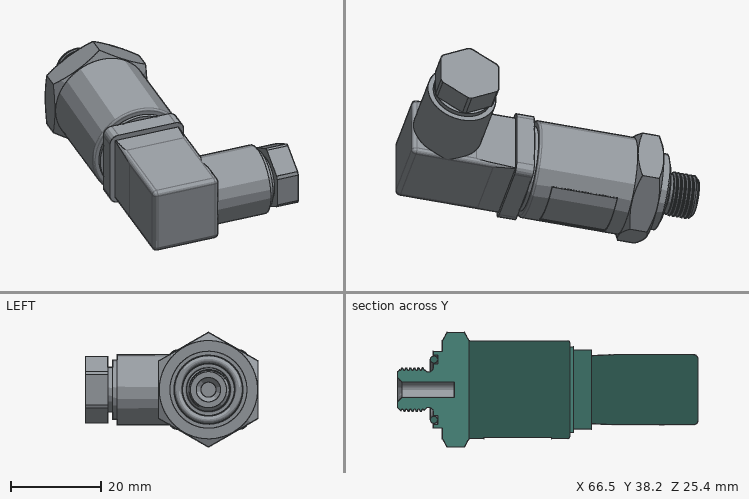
import cadquery as cq
import math


hex_half_angle = math.pi / 6

seal_face_x = 7.9
hex_start_x = 9.9
hex_end_x = 15.9
housing_end_x = 38.2
base_ring_end_x = 39.0
flange_end_x = 42.95
taper_end_z_faces = 47.9
taper_end_y_faces = 51.95
overall_length = 66.5

thread_crest_diameter = 9.7
thread_root_diameter = 8.6
relief_diameter = 8.0
thread_end_x = 6.5
thread_helix_start_x = -1.2
thread_helix_length = 8.2
thread_turns = 9
thread_pitch = thread_helix_length / thread_turns
ridge_crest_width = 0.2
ridge_flank_angle = 27.5
ridge_root_overlap = 0.1
relief_fillet = 1.0
collar_diameter = 17.0
bore_mouth_diameter = 5.4
bore_diameter = 3.3
bore_end_x = 12.6

hex_across_flats = 22.0
hex_face_diameter = 21.75
hex_chamfer_angle = 30.0

groove_inner_diameter = 11.45
groove_outer_diameter = 15.3
oring_section = 1.65
oring_protrusion = 0.65
oring_centre_diameter = (groove_inner_diameter + groove_outer_diameter) / 2
groove_depth = oring_section - oring_protrusion

housing_diameter = 21.75
housing_end_fillet = 0.45
label_start_x = 19.15
label_length = 14.9
label_width = 11.05
label_floor_diameter = 21.2
base_ring_diameter = 19.0
flange_size = 17.55
flange_corner_radius = 2.0

plug_size = 15.55
plug_edge_radius = 1.0
plug_taper_inset = 0.23
outlet_diameter = 15.55
outlet_x = 58.45
outlet_end_y = 20.2

washer_diameter = 13.2
washer_end_y = 21.2
nut_neck_diameter = 10.0
nut_start_y = 22.2
overall_width = 38.25
nut_end_y = overall_width - hex_across_flats / 2
nut_across_flats = 13.2
nut_corner_diameter = 14.75


def cylinder_along_x(diameter, start_x, end_x):
    return cq.Workplane("YZ", origin=(start_x, 0, 0)).circle(diameter / 2).extrude(end_x - start_x)


def cylinder_along_outlet(diameter, start_y, end_y):
    plane = cq.Plane(origin=(outlet_x, start_y, 0), xDir=(1, 0, 0), normal=(0, 1, 0))
    return cq.Workplane(plane).circle(diameter / 2).extrude(end_y - start_y)


def revolve_about_x(points):
    """Turn a closed outline of (x, radius) points around the main axis."""
    return cq.Workplane("XY").polyline(points).close().revolve(360, (0, 0, 0), (1, 0, 0))


def thread():
    """Right-handed external thread on its core, bevelled at both ends."""
    crest = thread_crest_diameter / 2
    ridge_root = thread_root_diameter / 2 - ridge_root_overlap
    half_crest = ridge_crest_width / 2
    half_root = half_crest + (crest - ridge_root) * math.tan(math.radians(ridge_flank_angle))

    helix = cq.Wire.makeHelix(thread_pitch, thread_helix_length, ridge_root)
    ridge = (
        cq.Workplane("XZ")
        .polyline([
            (ridge_root, -half_root),
            (crest, -half_crest),
            (crest, half_crest),
            (ridge_root, half_root),
        ])
        .close()
        .sweep(cq.Workplane(obj=helix), isFrenet=True)
        .rotate((0, 0, 0), (0, 1, 0), 90)
        .translate((thread_helix_start_x, 0, 0))
    )
    core_start_x = thread_helix_start_x - thread_pitch
    core_end_x = thread_helix_start_x + thread_helix_length + thread_pitch
    core = cylinder_along_x(thread_root_diameter, core_start_x, core_end_x).rotate((0, 0, 0), (1, 0, 0), 45)

    bevel_bottom = relief_diameter / 2
    bevel_top = crest + ridge_root_overlap
    bevel = bevel_top - bevel_bottom
    envelope = revolve_about_x([
        (0, 0),
        (0, bevel_bottom),
        (bevel, bevel_top),
        (thread_end_x - bevel, bevel_top),
        (thread_end_x, bevel_bottom),
        (thread_end_x, 0),
    ])
    return envelope.intersect(core.union(ridge))


def relief():
    """Undercut behind the thread, flaring in an arc into the sealing face."""
    radius = relief_diameter / 2
    fillet_start_x = seal_face_x - relief_fillet
    arc_reach = relief_fillet * math.sqrt(0.5)
    arc_middle = (fillet_start_x + arc_reach, radius + relief_fillet - arc_reach)
    return (
        cq.Workplane("XY")
        .moveTo(thread_end_x, 0)
        .lineTo(thread_end_x, radius)
        .lineTo(fillet_start_x, radius)
        .threePointArc(arc_middle, (seal_face_x, radius + relief_fillet))
        .lineTo(seal_face_x, 0)
        .close()
        .revolve(360, (0, 0, 0), (1, 0, 0))
    )


def port_hexagon():
    """Hexagon with corners on Z, its corners turned off conically at both ends."""
    corner_radius = hex_across_flats / 2 / math.cos(hex_half_angle)
    face_radius = hex_face_diameter / 2
    chamfer_length = (corner_radius - face_radius) * math.tan(math.radians(hex_chamfer_angle))
    prism = (
        cq.Workplane("YZ", origin=(hex_start_x, 0, 0))
        .polygon(6, 2 * corner_radius)
        .extrude(hex_end_x - hex_start_x)
        .rotate((0, 0, 0), (1, 0, 0), 90)
    )
    turned = revolve_about_x([
        (hex_start_x, 0),
        (hex_start_x, face_radius),
        (hex_start_x + chamfer_length, corner_radius),
        (hex_end_x - chamfer_length, corner_radius),
        (hex_end_x, face_radius),
        (hex_end_x, 0),
    ])
    return prism.intersect(turned)


def make_port():
    bore_radius = bore_diameter / 2
    mouth_radius = bore_mouth_diameter / 2
    bore = revolve_about_x([
        (0, 0),
        (0, mouth_radius),
        (mouth_radius - bore_radius, bore_radius),
        (bore_end_x, bore_radius),
        (bore_end_x, 0),
    ])
    groove_end_x = seal_face_x + groove_depth
    groove = cylinder_along_x(groove_outer_diameter, seal_face_x, groove_end_x).cut(
        cylinder_along_x(groove_inner_diameter, seal_face_x, groove_end_x)
    )
    collar = cylinder_along_x(collar_diameter, seal_face_x, hex_start_x).cut(groove)
    return port_hexagon().union(collar).union(relief()).union(thread()).cut(bore)


def make_oring():
    centre_x = seal_face_x - oring_protrusion + oring_section / 2
    return (
        cq.Workplane("XY")
        .center(centre_x, oring_centre_diameter / 2)
        .circle(oring_section / 2)
        .revolve(360, (0, -oring_centre_diameter / 2, 0), (1, -oring_centre_diameter / 2, 0))
    )


def make_housing():
    """Cylinder with a rounded end edge and a shallow label recess in its underside."""
    shell = cylinder_along_x(housing_diameter, hex_end_x, housing_end_x)
    shell = shell.edges(">X").fillet(housing_end_fillet)
    label_end_x = label_start_x + label_length
    recess = (
        cq.Workplane("XY")
        .box(label_length, label_width, housing_diameter, centered=(False, True, False))
        .translate((label_start_x, 0, -housing_diameter))
        .cut(cylinder_along_x(label_floor_diameter, label_start_x, label_end_x))
    )
    return shell.cut(recess)


def make_base_ring():
    return cylinder_along_x(base_ring_diameter, housing_end_x, base_ring_end_x)


def make_flange():
    return (
        cq.Workplane("YZ", origin=(base_ring_end_x, 0, 0))
        .rect(flange_size, flange_size)
        .extrude(flange_end_x - base_ring_end_x)
        .edges("|X")
        .fillet(flange_corner_radius)
    )


def taper_wedge(end_x):
    """Thin wedge that slopes the +Z face of the plug from end_x down to the flange."""
    half = plug_size / 2
    return (
        cq.Workplane("XZ")
        .polyline([(flange_end_x, half - plug_taper_inset), (end_x, half), (flange_end_x, half)])
        .close()
        .extrude(half, both=True)
    )


def make_plug():
    """Rounded box, slightly tapered towards the flange, with a round outlet on its +Y side."""
    box = (
        cq.Workplane("YZ", origin=(flange_end_x, 0, 0))
        .rect(plug_size, plug_size)
        .extrude(overall_length - flange_end_x)
        .edges("|X or >X")
        .fillet(plug_edge_radius)
    )
    for angle in (0, 180):
        box = box.cut(taper_wedge(taper_end_z_faces).rotate((0, 0, 0), (1, 0, 0), angle))
        box = box.cut(taper_wedge(taper_end_y_faces).rotate((0, 0, 0), (1, 0, 0), angle + 90))
    return box.union(cylinder_along_outlet(outlet_diameter, 0, outlet_end_y))


def make_gland_washer():
    return cylinder_along_outlet(washer_diameter, outlet_end_y, washer_end_y)


def make_gland_nut():
    """Hexagon nut with corners on Z, rounded to a circle, and its neck towards the washer."""
    corner_distance = nut_across_flats / math.cos(hex_half_angle)
    plane = cq.Plane(origin=(outlet_x, nut_start_y, 0), xDir=(0, 0, 1), normal=(0, 1, 0))
    hexagon = cq.Workplane(plane).polygon(6, corner_distance).extrude(nut_end_y - nut_start_y)
    head = hexagon.intersect(cylinder_along_outlet(nut_corner_diameter, nut_start_y, nut_end_y))
    return head.union(cylinder_along_outlet(nut_neck_diameter, washer_end_y, nut_start_y))


port = make_port()
oring = make_oring()
housing = make_housing()
base_ring = make_base_ring()
flange = make_flange()
plug = make_plug()
gland_washer = make_gland_washer()
gland_nut = make_gland_nut()

bodies = [port, oring, housing, base_ring, flange, plug, gland_washer, gland_nut]
result = cq.Compound.makeCompound([body.solids().val() for body in bodies])